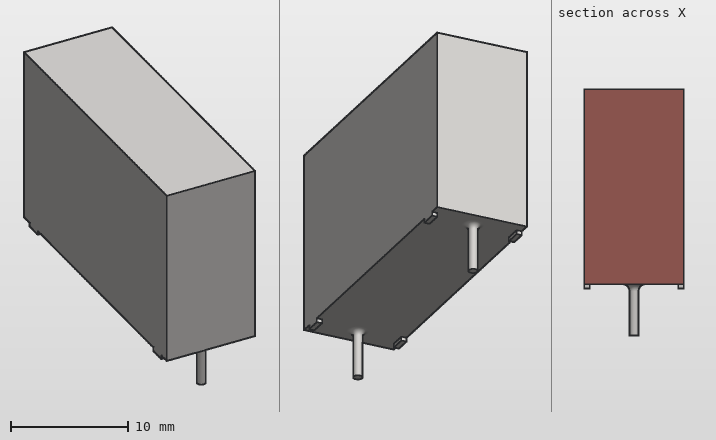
import cadquery as cq

case_length = 26
case_width = 8.5
overall_height = 21.0

foot_length = 1.5
foot_width = 0.5
foot_height = 0.36

pin_spacing = 22.5
pin_diameter = 0.8
pin_length_below_feet = 4.0
pin_root_radius = 0.55

pin_length = pin_length_below_feet + foot_height
case_height = overall_height - pin_length
pin_radius = pin_diameter / 2
pin_positions = (-pin_spacing / 2, pin_spacing / 2)


def make_case():
    return cq.Workplane("XY").box(case_length, case_width, case_height, centered=(True, True, False))


def make_foot_pair(x):
    """Two feet in line with one pin, each flush with a long side of the case."""
    foot_y = (case_width - foot_width) / 2
    return (
        cq.Workplane("XY")
        .pushPoints([(x, -foot_y), (x, foot_y)])
        .rect(foot_length, foot_width)
        .extrude(-foot_height)
    )


def make_pin(x):
    """Pin with a concave flare where it meets the case, turned about its own axis."""
    arc_mid_offset = pin_root_radius * (1 - 0.5 ** 0.5)
    return (
        cq.Workplane("XZ", origin=(x, 0, 0))
        .lineTo(pin_radius + pin_root_radius, 0)
        .threePointArc((pin_radius + arc_mid_offset, -arc_mid_offset), (pin_radius, -pin_root_radius))
        .lineTo(pin_radius, -pin_length)
        .lineTo(0, -pin_length)
        .close()
        .revolve(360, (0, 0, 0), (0, 1, 0))
    )


result = make_case()
for pin_x in pin_positions:
    result = result.union(make_foot_pair(pin_x)).union(make_pin(pin_x))